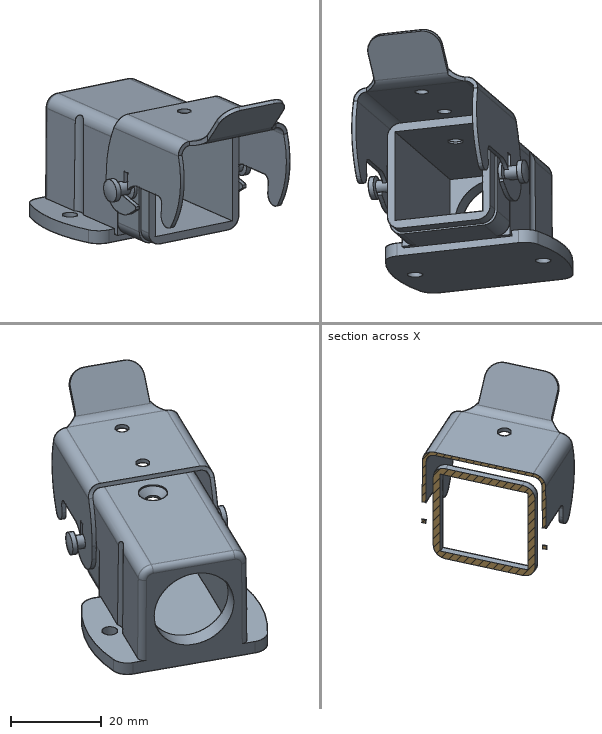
import cadquery as cq
import math

flange_length = 28.0
flange_width = 39.85
flange_thickness = 3.0
flange_end_radius = 32.7
flange_corner_radius = 3.9
screw_hole_radius = 1.7
screw_hole_offset = 15.0
screw_clearance_radius = 3.0

axis_z = 14.25
housing_top = 26.8
housing_half_height = housing_top - axis_z
housing_bottom = axis_z - housing_half_height
housing_half_width_top = 12.4
housing_half_width_bottom = 12.6
housing_edge_radius = 3.0
housing_front_radius = 1.45
housing_length = 29.1
collar_end = 37.5
rim_end = 40.5
rim_step = 0.4
bore_radius = 9.2
bore_depth = 4.2
cavity_size = 20.55

countersink_x = 29.5
countersink_radius = 3.2
countersink_lip = 0.3
countersink_depth = 1.8

pin_x = 34.0
pin_radius = 1.6
pin_end = 18.3
pin_root = 11.8
boss_radius = 2.7
boss_end = 13.3
head_radius = 2.55
head_start = 16.75
head_rim = 17.9
underside_slope = 0.2

sheet = 1.0
lever_top = 30.2
lever_half_width_top = 14.5
lever_half_width_bottom = 14.85
lever_bend_radius = 2.95
lever_back = 55.75
lever_edge_z = 16.15

brow_top = (31.6, lever_top)
brow_through = (31.2, 28.7)
brow_foot = (30.55, 27.4)
front_through = (28.5, 22.2)
front_upper = (27.75, 16.7)
front_lower = (27.75, 13.3)
heel_through = (29.95, 9.35)
heel_bottom = (33.7, 8.3)
lip_through = (35.65, 8.6)
lip_start = (37.4, 9.5)
lip_tip_lower = (39.3, 10.65)
lip_tip_upper = (39.3, 11.3)
lip_end = (38.7, 11.6)
mouth_corner_z = 14.45
mouth_through = (37.6, 15.6)
mouth_end_x = 39.3
latch_inner = (49.25, 12.35)
latch_through = (49.85, 10.45)
latch_bottom = (51.55, 9.75)
latch_toe = (52.6, 9.95)
latch_outer = (53.3, 10.65)
back_through = (56.5, 19.0)
back_top_z = 27.4

notch_left = 34.6
notch_right = 36.1
notch_top = 18.3
latch_left = 49.45
latch_corner_radius = 1.5
lever_hole_radius = 1.5
lever_hole_positions = (36.75, 51.7)

tab_angle = math.radians(50)
tab_tip_x = 65.4
tab_tip_z = 39.25
tab_half_width = 8.6
tab_corner_radius = 4.0
tab_root_half_width = 11.5
tab_flare_end = 58.35


def make_flange():
    """Plate with bowed ends, rounded corners and two screw holes."""
    middle = flange_length / 2
    half_width = flange_width / 2
    arc_drop = flange_end_radius - math.sqrt(flange_end_radius**2 - middle**2)
    corner_y = half_width - arc_drop
    return (
        cq.Workplane("XY")
        .moveTo(0, -corner_y)
        .threePointArc((middle, -half_width), (flange_length, -corner_y))
        .lineTo(flange_length, corner_y)
        .threePointArc((middle, half_width), (0, corner_y))
        .close()
        .extrude(flange_thickness)
        .edges("|Z")
        .fillet(flange_corner_radius)
        .cut(screw_columns(screw_hole_radius, 0, flange_thickness))
    )


def screw_columns(radius, bottom, top):
    """Two upright cylinders on the flange screw axes."""
    return (
        cq.Workplane("XY", origin=(flange_length / 2, 0, bottom))
        .pushPoints([(0, -screw_hole_offset), (0, screw_hole_offset)])
        .circle(radius)
        .extrude(top - bottom)
    )


def drafted_bar(length):
    """Bar along X with drafted sides and rounded top edges."""
    return (
        cq.Workplane("YZ")
        .moveTo(-housing_half_width_bottom, housing_bottom)
        .lineTo(housing_half_width_bottom, housing_bottom)
        .lineTo(housing_half_width_top, housing_top)
        .lineTo(-housing_half_width_top, housing_top)
        .close()
        .extrude(length)
        .edges("|X and >Z")
        .fillet(housing_edge_radius)
    )


def make_housing():
    """Drafted housing with collar and rim, before hollowing."""
    block = (
        drafted_bar(housing_length)
        .faces("<X")
        .edges("not <Z")
        .fillet(housing_front_radius)
    )
    block = block.cut(screw_columns(screw_clearance_radius, flange_thickness, housing_top))
    collar_half_width = (housing_half_width_top + housing_half_width_bottom) / 2
    collar_start = housing_length - housing_edge_radius
    collar_trim = (
        cq.Workplane("YZ", origin=(collar_start, 0, housing_bottom))
        .rect(2 * collar_half_width, 4 * housing_half_height)
        .extrude(collar_end - collar_start)
        .translate((0, 0, 2 * housing_half_height))
        .edges("|X and <Z")
        .fillet(housing_edge_radius)
    )
    collar = drafted_bar(collar_end).intersect(collar_trim)
    rim_half_width = housing_half_width_top - rim_step
    rim_half_height = housing_half_height - rim_step
    rim = (
        cq.Workplane("YZ", origin=(collar_start, 0, axis_z))
        .rect(2 * rim_half_width, 2 * rim_half_height)
        .extrude(rim_end - collar_start)
        .edges("|X")
        .fillet(housing_edge_radius)
    )
    return block.union(collar).union(rim)


def make_cavity():
    """Round entry bore opening into the square cavity."""
    bore = cq.Workplane("YZ", origin=(0, 0, axis_z)).circle(bore_radius).extrude(rim_end)
    cavity = (
        cq.Workplane("YZ", origin=(bore_depth, 0, axis_z))
        .rect(cavity_size, cavity_size)
        .extrude(rim_end - bore_depth)
    )
    return bore.union(cavity)


def make_countersink():
    """Countersunk screw hole through the housing roof."""
    cone_top = housing_top - countersink_lip
    cone_bottom = housing_top - countersink_depth
    return (
        cq.Workplane("XZ")
        .moveTo(0, axis_z)
        .lineTo(screw_hole_radius, axis_z)
        .lineTo(screw_hole_radius, cone_bottom)
        .lineTo(countersink_radius, cone_top)
        .lineTo(countersink_radius, housing_top)
        .lineTo(0, housing_top)
        .close()
        .revolve(360, (0, 0, 0), (0, 1, 0))
        .translate((countersink_x, 0, 0))
    )


def make_pin():
    """Pivot pin on the +Y side: boss, shank and domed head."""
    dome_height = pin_end - head_rim
    dome_radius = (head_radius**2 + dome_height**2) / (2 * dome_height)
    dome_center = pin_end - dome_radius
    mid_angle = math.asin(head_radius / dome_radius) / 2
    dome_middle = (
        dome_radius * math.sin(mid_angle),
        dome_center + dome_radius * math.cos(mid_angle),
    )
    return (
        cq.Workplane("XY")
        .moveTo(0, pin_root)
        .lineTo(boss_radius, pin_root)
        .lineTo(boss_radius, boss_end)
        .lineTo(pin_radius, boss_end + underside_slope)
        .lineTo(pin_radius, head_start - underside_slope)
        .lineTo(head_radius, head_start)
        .lineTo(head_radius, head_rim)
        .threePointArc(dome_middle, (0, pin_end))
        .close()
        .revolve(360, (0, 0, 0), (0, 1, 0))
        .translate((pin_x, 0, axis_z))
    )


def lever_channel(inset):
    """Solid bar filling the lever's flared section, shrunk by the inset."""
    return (
        cq.Workplane("YZ")
        .moveTo(-lever_half_width_bottom + inset, 0)
        .lineTo(lever_half_width_bottom - inset, 0)
        .lineTo(lever_half_width_top - inset, lever_top - inset)
        .lineTo(-lever_half_width_top + inset, lever_top - inset)
        .close()
        .extrude(tab_tip_x)
        .edges("|X and >Z")
        .fillet(lever_bend_radius - inset)
    )


def lever_side():
    """Side outline of the lever, with pin mouth, spring notch and latch hook."""
    pin_bottom = axis_z - pin_radius
    notch_foot = axis_z + math.sqrt(pin_radius**2 - (notch_left - pin_x) ** 2)
    return (
        cq.Workplane("XZ")
        .moveTo(*brow_top)
        .threePointArc(brow_through, brow_foot)
        .threePointArc(front_through, front_upper)
        .lineTo(*front_lower)
        .threePointArc(heel_through, heel_bottom)
        .threePointArc(lip_through, lip_start)
        .lineTo(*lip_tip_lower)
        .lineTo(*lip_tip_upper)
        .lineTo(*lip_end)
        .lineTo(pin_x, pin_bottom)
        .threePointArc((pin_x - pin_radius, axis_z), (notch_left, notch_foot))
        .lineTo(notch_left, notch_top)
        .lineTo(notch_right, notch_top)
        .lineTo(notch_right, mouth_corner_z)
        .threePointArc(mouth_through, (mouth_end_x, lever_edge_z))
        .lineTo(latch_left - latch_corner_radius, lever_edge_z)
        .radiusArc((latch_left, lever_edge_z - latch_corner_radius), latch_corner_radius)
        .lineTo(*latch_inner)
        .threePointArc(latch_through, latch_bottom)
        .threePointArc(latch_toe, latch_outer)
        .threePointArc(back_through, (lever_back, back_top_z))
        .lineTo(lever_back, lever_top)
        .close()
        .extrude(lever_half_width_bottom, both=True)
    )


def polar_point(center, radius, angle):
    """Point on a circle, with the angle measured from straight below the centre."""
    return (center[0] + radius * math.sin(angle), center[1] - radius * math.cos(angle))


def tab_strip(half_width):
    """Tab strip of constant width, bent upward from the lever's back edge."""
    upper_tip = (tab_tip_x - sheet * math.sin(tab_angle), tab_tip_z)
    lower_tip = (tab_tip_x, tab_tip_z - sheet * math.cos(tab_angle))
    reach = upper_tip[0] - lever_back
    rise = tab_tip_z - lever_top
    offset = reach * math.sin(tab_angle) - rise * math.cos(tab_angle)
    inner_radius = offset / (1 - math.cos(tab_angle))
    outer_radius = inner_radius + sheet
    center = (lever_back, lever_top + inner_radius)
    root_x = lever_back - sheet
    return (
        cq.Workplane("XZ")
        .moveTo(root_x, lever_top)
        .lineTo(lever_back, lever_top)
        .threePointArc(
            polar_point(center, inner_radius, tab_angle / 2),
            polar_point(center, inner_radius, tab_angle),
        )
        .lineTo(*upper_tip)
        .lineTo(*lower_tip)
        .lineTo(*polar_point(center, outer_radius, tab_angle))
        .threePointArc(
            polar_point(center, outer_radius, tab_angle / 2),
            (lever_back, lever_top - sheet),
        )
        .lineTo(root_x, lever_top - sheet)
        .close()
        .extrude(half_width, both=True)
    )


def make_tab():
    """Finger tab with rounded tip corners and a flared root."""
    tip_corners = cq.selectors.BoxSelector(
        (tab_tip_x - sheet, -tab_root_half_width, tab_tip_z - sheet),
        (tab_tip_x + sheet, tab_root_half_width, tab_tip_z + sheet),
    )
    tab = tab_strip(tab_half_width).edges(tip_corners).edges("not |Y").fillet(tab_corner_radius)
    flare = (
        cq.Workplane("XY")
        .moveTo(lever_back - sheet, -tab_root_half_width)
        .lineTo(lever_back, -tab_root_half_width)
        .lineTo(tab_flare_end, -tab_half_width)
        .lineTo(tab_flare_end, tab_half_width)
        .lineTo(lever_back, tab_root_half_width)
        .lineTo(lever_back - sheet, tab_root_half_width)
        .close()
        .extrude(tab_tip_z)
    )
    return tab.union(tab_strip(tab_root_half_width).intersect(flare))


def make_lever():
    """Folded lever with two holes in its top and the finger tab."""
    holes = (
        cq.Workplane("XY", origin=(0, 0, lever_top - sheet))
        .pushPoints([(x, 0) for x in lever_hole_positions])
        .circle(lever_hole_radius)
        .extrude(sheet)
    )
    shell = lever_channel(0).cut(lever_channel(sheet)).intersect(lever_side())
    return shell.cut(holes).union(make_tab())


pin = make_pin()
result = (
    make_housing()
    .union(make_flange())
    .union(pin)
    .union(pin.mirror("XZ"))
    .cut(make_cavity())
    .cut(make_countersink())
    .union(make_lever())
)